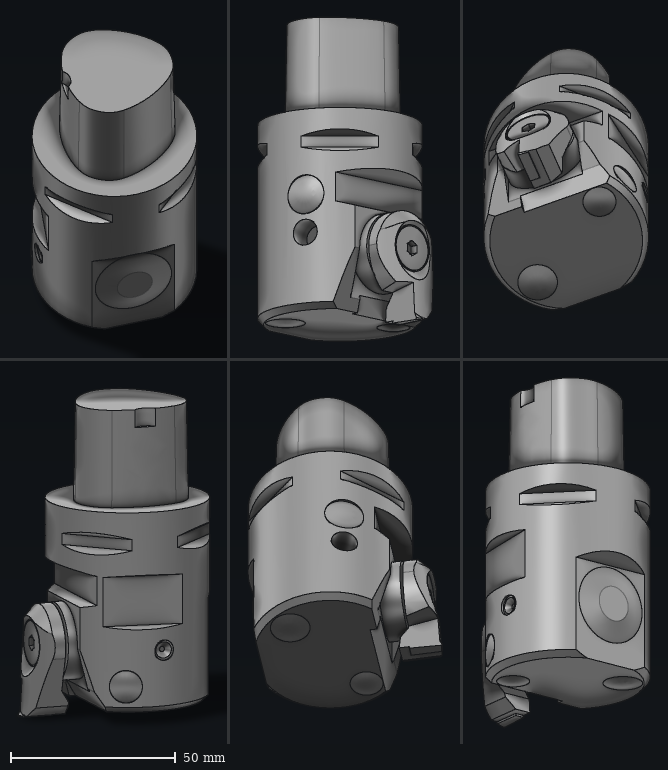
import cadquery as cq
import math

BODY_RADIUS = 25.0
BODY_LENGTH = 62.0
BOTTOM_CHAMFER = 1.85
FAR = 80.0

SHANK_LENGTH = 30.0
SHANK_BASE_RADIUS = 17.53
SHANK_TOP_RADIUS = 16.97
LOBE_RATIO = 0.071
BLUNTING_RATIO = 0.01
FLAT_HALF_ANGLE = 22.3
FLAT_DIRECTION = 270.0
SPLINE_POINTS = 9
KEY_DIAMETER = 8.5
KEY_DEPTH = 5.5
KEY_WALL_Y = -13.9

GROOVE_COUNT = 4
FIRST_GROOVE_DIRECTION = 45.0
GROOVE_FLOOR_DISTANCE = 22.1
GROOVE_Z = -10.0
GROOVE_FLOOR_HEIGHT = 3.4
GROOVE_SIDE_SLOPE = math.tan(math.radians(30))

FLAT_SIDE_DIRECTION = 262.0
FLAT_SIDE_DISTANCE = 21.75
FLAT_SIDE_Z = -27.8
FLAT_SIDE_HEIGHT = 15.2
NOTCH_SIDE_SLOPE = math.tan(math.radians(14))

NOTCH_X = -16.8
NOTCH_TOP_Z = -20.05
NOTCH_BOTTOM_Z = -29.0
SEAT_X = -20.65
SEAT_TOP_Z = -30.15
SLOPE_START_Z = -43.2
SLOPE_END_X = -15.75
STEEP_START_Z = -55.8
STEEP_END_X = -13.7
STEEP_EDGE_Y = 8.2

BACK_FLAT_X = 21.35
BACK_SHOULDER_Z = -27.1
BACK_FLAT_Z = -30.35

AXIS_Z = -43.0
DISC_DIAMETER = 24.0
DISC_FRONT_X = -23.55
POCKET_WIDTH = 24.2
POCKET_FLOOR_X = NOTCH_X

HEAD_RADIUS = 23.84 / 2
HEAD_BACK_X = -24.4
HEAD_CONE_X = -28.4
HEAD_CONE_LENGTH = 8.0
HEAD_STOCK_LENGTH = 20.0
HEAD_SIDE_ANGLE = 15.3
HEAD_LEFT_RADIUS = 18.0
HEAD_BOTTOM_Z = -64.9
FLANK_END_Z = -61.7
HEAD_BOTTOM_Y = -3.6
EDGE_Y = 1.9
FRONT_RADIUS = 16.5
FRONT_UPPER = (-32.5, -36.5)
FRONT_LOWER = (-34.0, -62.0)
FOOT_START_Z = -56.7
FOOT_SHOULDER = (-21.85, -60.4)
FOOT_END_X = -21.5
RELIEF_FRONT = (-33.0, -54.4)
RELIEF_BACK = (-24.4, -56.1)
COUNTERSINK_SLOPE = math.tan(math.radians(50))

TIP_X = -34.77
TIP_Z = -66.0
TIP_INNER_Y = -1.2
TIP_BACK_X = -24.6

SCREW_DIAMETER = 13.6
SCREW_RECESS_DIAMETER = 14.4
SCREW_FACE_X = -31.0
SCREW_LENGTH = 4.0
SOCKET_FLATS = 4.1
SOCKET_DEPTH = 2.5

PLUG_DEPTH = 3.0
DOME_HEIGHT = 1.0
COOLANT_HOLE_DIAMETER = 8.0
COOLANT_HOLE_DEPTH = 10.0
REAR_DIRECTION = 110.0
REAR_PLUG_DIAMETER = 12.02
REAR_PLUG_Z = -26.4
COOLANT_HOLE_Z = -38.2
FRONT_DIRECTION = 248.5
FRONT_PLUG_DIAMETER = 10.02
FRONT_PLUG_Z = -53.8
BOTTOM_LARGE_DIAMETER = 12.02
BOTTOM_LARGE_PLACE = (10.0, 13.3)
BOTTOM_SMALL_DIAMETER = 10.02
BOTTOM_SMALL_PLACE = (-8.6, -14.3)
BACK_CAP_DIAMETER = 24.0
BACK_CAP_FACE_DIAMETER = 11.0
BACK_CAP_HEIGHT = 1.65

NOZZLE_PLACE = (2.7, -24.2, -43.0)
NOZZLE_DIAMETER = 6.25
NOZZLE_LENGTH = 6.0
NOZZLE_CONE_DIAMETER = 5.01
NOZZLE_FLOOR_DIAMETER = 1.6
NOZZLE_CONE_DEPTH = 1.5


def radial_plane(direction, radius, z):
    """Plane facing outwards from the tool axis in the given direction (degrees)."""
    out = cq.Vector(math.cos(math.radians(direction)), math.sin(math.radians(direction)), 0)
    sideways = (-out.y, out.x, 0)
    return cq.Plane(origin=(out.x * radius, out.y * radius, z), xDir=sideways, normal=out.toTuple())


def prism_along_y(points, y_low=-FAR, y_high=FAR):
    """Polygon in (x, z), extruded from y_low to y_high."""
    return cq.Workplane("XZ", origin=(0, y_high, 0)).polyline(points).close().extrude(y_high - y_low)


def revolve_about_tool_x(points):
    """Polygon in (x, radius), revolved about the X axis of the cutting unit."""
    profile = cq.Workplane("XZ", origin=(0, 0, AXIS_Z)).polyline(points).close()
    return profile.revolve(360, (0, 0, 0), (1, 0, 0))


def drilled(plane, diameter, depth):
    """Round cutter that runs from outside the plane to a depth below it."""
    above = 2.0
    return cq.Workplane(plane).workplane(offset=-depth).circle(diameter / 2).extrude(depth + above)


def domed_plug(plane, diameter):
    """Plug with its rim on the plane and a spherical dome above it."""
    radius = diameter / 2
    dome_radius = (radius**2 + DOME_HEIGHT**2) / (2 * DOME_HEIGHT)
    half_angle = math.asin(radius / dome_radius) / 2
    middle = (
        dome_radius * math.sin(half_angle),
        DOME_HEIGHT - dome_radius * (1 - math.cos(half_angle)),
    )
    profile = (
        cq.Workplane("XZ")
        .moveTo(0, -PLUG_DEPTH)
        .lineTo(radius, -PLUG_DEPTH)
        .lineTo(radius, 0)
        .threePointArc(middle, (0, DOME_HEIGHT))
        .close()
    )
    plug = profile.revolve(360, (0, 0, 0), (0, 1, 0))
    return cq.Workplane(plug.val().moved(cq.Location(plane)))


def side_notch(direction, distance, z, height, slope):
    """Flat-floored cut across the round body whose upper and lower sides flare outwards."""
    reach = 10.0
    flare = reach * slope
    profile = cq.Workplane("XZ", origin=(0, FAR, 0)).polyline(
        [
            (distance, z - height / 2),
            (distance + reach, z - height / 2 - flare),
            (distance + reach, z + height / 2 + flare),
            (distance, z + height / 2),
        ]
    )
    return profile.close().extrude(2 * FAR).rotate((0, 0, 0), (0, 0, 1), direction)


def trilobe_point(mean_radius, angle):
    """Point and tangent where the trilobe's outward normal has the given angle (degrees)."""
    normal_angle = math.radians(angle)
    phase = math.radians(3 * (angle - FLAT_DIRECTION))
    lobe = LOBE_RATIO * mean_radius
    blunting = BLUNTING_RATIO * mean_radius
    support = mean_radius - lobe * math.cos(phase) - blunting * math.cos(2 * phase)
    support_rate = 3 * lobe * math.sin(phase) + 6 * blunting * math.sin(2 * phase)
    normal = cq.Vector(math.cos(normal_angle), math.sin(normal_angle), 0)
    tangent = cq.Vector(-math.sin(normal_angle), math.cos(normal_angle), 0)
    return normal * support + tangent * support_rate, tangent


def trilobe_wire(mean_radius, z):
    """Closed outline of three shallow sides and three lobes."""
    edges = []
    for side in range(3):
        flat_middle = FLAT_DIRECTION + 120 * side
        flat_start = flat_middle - FLAT_HALF_ANGLE
        flat_end = flat_middle + FLAT_HALF_ANGLE
        for start, end in ((flat_start, flat_end), (flat_end, flat_start + 120)):
            angles = [start + (end - start) * i / (SPLINE_POINTS - 1) for i in range(SPLINE_POINTS)]
            samples = [trilobe_point(mean_radius, angle) for angle in angles]
            points = [point + cq.Vector(0, 0, z) for point, _ in samples]
            edges.append(cq.Edge.makeSpline(points, tangents=[samples[0][1], samples[-1][1]]))
    return cq.Wire.assembleEdges(edges)


def make_shank():
    base = trilobe_wire(SHANK_BASE_RADIUS, 0)
    top = trilobe_wire(SHANK_TOP_RADIUS, SHANK_LENGTH)
    shank = cq.Workplane(cq.Solid.makeLoft([base, top], True))
    key = (
        cq.Workplane("XY", origin=(0, KEY_WALL_Y - KEY_DIAMETER / 2, SHANK_LENGTH - KEY_DEPTH))
        .circle(KEY_DIAMETER / 2)
        .extrude(2 * KEY_DEPTH)
    )
    return shank.cut(key)


def cut_grooves(body):
    for i in range(GROOVE_COUNT):
        direction = FIRST_GROOVE_DIRECTION + 360 / GROOVE_COUNT * i
        body = body.cut(
            side_notch(direction, GROOVE_FLOOR_DISTANCE, GROOVE_Z, GROOVE_FLOOR_HEIGHT, GROOVE_SIDE_SLOPE)
        )
    return body


def cut_tool_side(body):
    """Notch, seating face, sloped faces and disc pocket on the -X side."""
    outside_x = -30.0
    bottom_z = -BODY_LENGTH
    front = prism_along_y(
        [
            (outside_x, NOTCH_TOP_Z + (NOTCH_X - outside_x) * NOTCH_SIDE_SLOPE),
            (NOTCH_X, NOTCH_TOP_Z),
            (NOTCH_X, NOTCH_BOTTOM_Z),
            (SEAT_X, SEAT_TOP_Z),
            (SEAT_X, SLOPE_START_Z),
            (SLOPE_END_X, bottom_z),
            (outside_x, bottom_z),
        ]
    )
    slope_rate = (SLOPE_END_X - SEAT_X) / (SLOPE_START_Z - bottom_z)
    steep_start_x = SEAT_X + (SLOPE_START_Z - STEEP_START_Z) * slope_rate
    steep = prism_along_y(
        [
            (steep_start_x, STEEP_START_Z),
            (STEEP_END_X, bottom_z),
            (outside_x, bottom_z),
            (outside_x, STEEP_START_Z),
        ],
        y_high=STEEP_EDGE_Y,
    )
    pocket_length = POCKET_FLOOR_X - outside_x
    pocket_round = (
        cq.Workplane("YZ", origin=(outside_x, 0, AXIS_Z)).circle(POCKET_WIDTH / 2).extrude(pocket_length)
    )
    pocket_slot = cq.Workplane("XY").box(
        pocket_length, POCKET_WIDTH, BODY_LENGTH + AXIS_Z, centered=(False, True, False)
    ).translate((outside_x, 0, bottom_z))
    return body.cut(front).cut(steep).cut(pocket_round).cut(pocket_slot)


def cut_back_flat(body):
    shoulder = prism_along_y(
        [
            (BODY_RADIUS, BACK_SHOULDER_Z),
            (BACK_FLAT_X, BACK_FLAT_Z),
            (BACK_FLAT_X, -FAR),
            (FAR, -FAR),
            (FAR, BACK_SHOULDER_Z),
        ]
    )
    return body.cut(shoulder)


def make_housing():
    body = cq.Workplane("XY").circle(BODY_RADIUS).extrude(-BODY_LENGTH)
    body = body.faces("<Z").chamfer(BOTTOM_CHAMFER)
    body = cut_grooves(body)
    body = body.cut(
        side_notch(FLAT_SIDE_DIRECTION, FLAT_SIDE_DISTANCE, FLAT_SIDE_Z, FLAT_SIDE_HEIGHT, NOTCH_SIDE_SLOPE)
    )
    body = cut_tool_side(body)
    body = cut_back_flat(body)
    for plane, diameter in [*PLUGS, (BACK_PLANE, BACK_CAP_DIAMETER)]:
        body = body.cut(drilled(plane, diameter, PLUG_DEPTH))
    coolant_plane = radial_plane(REAR_DIRECTION, BODY_RADIUS, COOLANT_HOLE_Z)
    body = body.cut(drilled(coolant_plane, COOLANT_HOLE_DIAMETER, COOLANT_HOLE_DEPTH))
    body = body.cut(drilled(NOZZLE_PLANE, NOZZLE_DIAMETER, NOZZLE_LENGTH))
    return body.union(make_shank())


def make_disc():
    return (
        cq.Workplane("YZ", origin=(DISC_FRONT_X, 0, AXIS_Z))
        .circle(DISC_DIAMETER / 2)
        .extrude(POCKET_FLOOR_X - DISC_FRONT_X)
    )


def head_outline():
    """Outline of the cutting head along X: round top, straight flank, narrow blade below."""
    side = math.radians(HEAD_SIDE_ANGLE)
    flank_start = (-HEAD_RADIUS * math.cos(side), AXIS_Z - HEAD_RADIUS * math.sin(side))
    flank_end_y = flank_start[0] + (flank_start[1] - FLANK_END_Z) * math.tan(side)
    left_centre_y = HEAD_RADIUS - HEAD_LEFT_RADIUS
    left_end_angle = math.acos((EDGE_Y - left_centre_y) / HEAD_LEFT_RADIUS)

    def left_point(angle):
        return (
            left_centre_y + HEAD_LEFT_RADIUS * math.cos(angle),
            AXIS_Z - HEAD_LEFT_RADIUS * math.sin(angle),
        )

    return (
        cq.Workplane("YZ", origin=(FOOT_END_X, 0, 0))
        .moveTo(EDGE_Y, HEAD_BOTTOM_Z)
        .lineTo(*left_point(left_end_angle))
        .threePointArc(left_point(left_end_angle / 2), (HEAD_RADIUS, AXIS_Z))
        .threePointArc((0, AXIS_Z + HEAD_RADIUS), flank_start)
        .lineTo(flank_end_y, FLANK_END_Z)
        .lineTo(HEAD_BOTTOM_Y, HEAD_BOTTOM_Z)
        .close()
    )


def head_front_cylinder():
    """Leaning cylinder whose -X side is the curved front of the head."""
    lean = cq.Vector(FRONT_UPPER[0] - FRONT_LOWER[0], 0, FRONT_UPPER[1] - FRONT_LOWER[1]).normalized()
    inward = cq.Vector(lean.z, 0, -lean.x)
    middle = cq.Vector(FRONT_LOWER[0], 0, FRONT_LOWER[1]) + inward * FRONT_RADIUS
    plane = cq.Plane(origin=(middle - lean * FAR).toTuple(), xDir=(0, 1, 0), normal=lean.toTuple())
    return cq.Workplane(plane).circle(FRONT_RADIUS).extrude(2 * FAR)


def cut_head_cone(head):
    """45 degree cone around the upper half of the head, outside the flanks."""
    cone_end_x = HEAD_CONE_X - HEAD_CONE_LENGTH
    margin = 1.0
    outer = HEAD_RADIUS + margin
    ring = revolve_about_tool_x(
        [
            (HEAD_CONE_X + margin, outer),
            (cone_end_x, HEAD_RADIUS - HEAD_CONE_LENGTH),
            (cone_end_x, outer),
        ]
    )
    upper_half = cq.Workplane("XY", origin=(HEAD_CONE_X, 0, AXIS_Z)).box(
        FAR, FAR, FAR, centered=(True, True, False)
    )
    return head.cut(ring.intersect(upper_half))


def make_tip():
    """Cutting edge: a small wedge, relieved from the edge plane towards -Y."""
    front_corner_z = -65.4
    relief = 0.45
    nose_length = 0.3
    sections = []
    for y, back_off, root_z in ((EDGE_Y, 0, -63.8), (TIP_INNER_Y, relief, -64.6)):
        corners = [
            (FRONT_LOWER[0], root_z),
            (TIP_X + back_off, front_corner_z + back_off / 2),
            (TIP_X + back_off + nose_length, TIP_Z + back_off),
            (TIP_BACK_X, TIP_Z + relief),
            (TIP_BACK_X, root_z),
        ]
        sections.append(cq.Wire.makePolygon([cq.Vector(x, y, z) for x, z in corners], close=True))
    return cq.Workplane(cq.Solid.makeLoft(sections, True))


def make_head():
    head = head_outline().extrude(-HEAD_STOCK_LENGTH).intersect(head_front_cylinder())
    head = cut_head_cone(head)
    behind = prism_along_y(
        [
            (HEAD_BACK_X, 0),
            (HEAD_BACK_X, FOOT_START_Z),
            FOOT_SHOULDER,
            (FOOT_END_X, HEAD_BOTTOM_Z),
            (0, HEAD_BOTTOM_Z),
            (0, 0),
        ]
    )
    rate = (RELIEF_BACK[1] - RELIEF_FRONT[1]) / (RELIEF_BACK[0] - RELIEF_FRONT[0])
    beside_blade = prism_along_y(
        [
            (-FAR, RELIEF_FRONT[1] - (FAR + RELIEF_FRONT[0]) * rate),
            (0, RELIEF_FRONT[1] - RELIEF_FRONT[0] * rate),
            (0, -FAR),
            (-FAR, -FAR),
        ],
        y_low=EDGE_Y,
    )
    recess_radius = SCREW_RECESS_DIAMETER / 2
    flare = 6.0
    recess = revolve_about_tool_x(
        [
            (SCREW_FACE_X + SCREW_LENGTH, 0),
            (SCREW_FACE_X + SCREW_LENGTH, recess_radius),
            (SCREW_FACE_X, recess_radius),
            (SCREW_FACE_X - flare, recess_radius + flare * COUNTERSINK_SLOPE),
            (SCREW_FACE_X - flare, 0),
        ]
    )
    return head.cut(behind).cut(beside_blade).cut(recess).union(make_tip())


def make_screw():
    corner_diameter = SOCKET_FLATS / math.cos(math.radians(30))
    screw = (
        cq.Workplane("YZ", origin=(SCREW_FACE_X, 0, AXIS_Z)).circle(SCREW_DIAMETER / 2).extrude(SCREW_LENGTH)
    )
    socket = (
        cq.Workplane("YZ", origin=(SCREW_FACE_X, 0, AXIS_Z))
        .transformed(rotate=(0, 0, 90))
        .polygon(6, corner_diameter)
        .extrude(SOCKET_DEPTH)
    )
    return screw.cut(socket)


NOZZLE_PLANE = cq.Plane(origin=NOZZLE_PLACE, xDir=(1, 0, 0), normal=(0, -1, 0))


def make_nozzle():
    nozzle = cq.Workplane(NOZZLE_PLANE).circle(NOZZLE_DIAMETER / 2).extrude(-NOZZLE_LENGTH)
    cone = (
        cq.Workplane(NOZZLE_PLANE)
        .circle(NOZZLE_CONE_DIAMETER / 2)
        .workplane(offset=-NOZZLE_CONE_DEPTH)
        .circle(NOZZLE_FLOOR_DIAMETER / 2)
        .loft(ruled=True)
    )
    return nozzle.cut(cone)


BACK_PLANE = radial_plane(0, BACK_FLAT_X, AXIS_Z)


def make_back_cap():
    base = cq.Workplane(BACK_PLANE).circle(BACK_CAP_DIAMETER / 2).extrude(-PLUG_DEPTH)
    crown = (
        cq.Workplane(BACK_PLANE)
        .circle(BACK_CAP_DIAMETER / 2)
        .workplane(offset=BACK_CAP_HEIGHT)
        .circle(BACK_CAP_FACE_DIAMETER / 2)
        .loft(ruled=True)
    )
    return base.union(crown)


def rim_radius(diameter):
    """Distance of a side plug's rim from the tool axis, so that it lies on the round body."""
    return math.sqrt(BODY_RADIUS**2 - (diameter / 2) ** 2)


def bottom_plane(place):
    return cq.Plane(origin=(*place, -BODY_LENGTH), xDir=(1, 0, 0), normal=(0, 0, -1))


PLUGS = [
    (
        radial_plane(REAR_DIRECTION, rim_radius(REAR_PLUG_DIAMETER), REAR_PLUG_Z),
        REAR_PLUG_DIAMETER,
    ),
    (
        radial_plane(FRONT_DIRECTION, rim_radius(FRONT_PLUG_DIAMETER), FRONT_PLUG_Z),
        FRONT_PLUG_DIAMETER,
    ),
    (bottom_plane(BOTTOM_LARGE_PLACE), BOTTOM_LARGE_DIAMETER),
    (bottom_plane(BOTTOM_SMALL_PLACE), BOTTOM_SMALL_DIAMETER),
]

housing = make_housing()
disc = make_disc()
head = make_head()
screw = make_screw()
nozzle = make_nozzle()
back_cap = make_back_cap()
plugs = [domed_plug(*plug) for plug in PLUGS]

result = cq.Compound.makeCompound(
    [
        housing.val(),
        disc.val(),
        head.val(),
        screw.val(),
        nozzle.val(),
        back_cap.val(),
        *[plug.val() for plug in plugs],
    ]
)